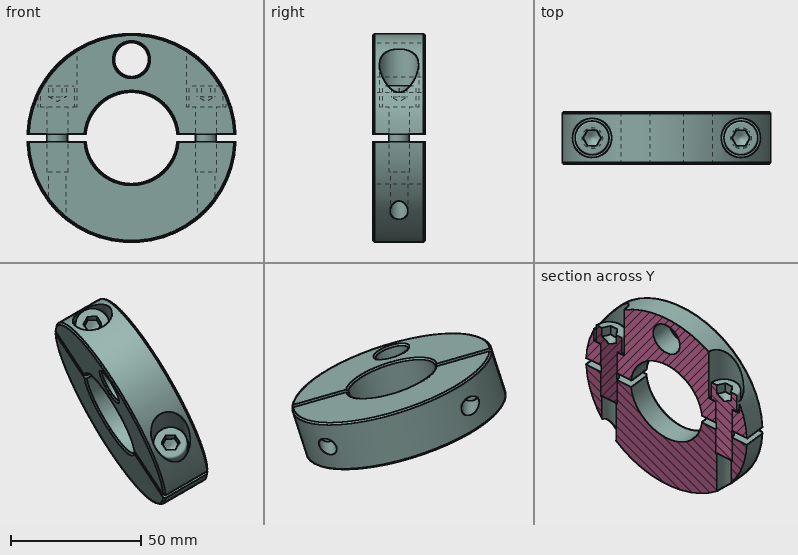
import cadquery as cq
import math

outer_diameter = 80.0
bore_diameter = 35.0
width = 20.0
split_gap = 3.0
edge_chamfer = 0.7

cross_hole_diameter = 13.0
cross_hole_height = 30.0

screw_offset = 28.5
shank_diameter = 8.0
shank_length = 25.0
head_diameter = 13.0
head_height = 8.0
head_fillet = 0.8
head_seat_height = 12.0
socket_across_flats = 6.0
socket_depth = 4.0
socket_cone_angle = 120.0

counterbore_diameter = 15.0
tap_drill_diameter = 6.8

outer_radius = outer_diameter / 2
head_top_height = head_seat_height + head_height
shank_end_height = head_seat_height - shank_length
socket_corner_diameter = socket_across_flats / math.cos(math.pi / 6)
screw_positions = [(-screw_offset, 0), (screw_offset, 0)]


def vertical_cylinders(diameter, bottom, top):
    """Cylinders on both screw axes between two heights."""
    return (
        cq.Workplane("XY")
        .workplane(offset=bottom)
        .pushPoints(screw_positions)
        .circle(diameter / 2)
        .extrude(top - bottom)
    )


def make_ring():
    """Full collar ring with all four circular edges chamfered."""
    return (
        cq.Workplane("XZ")
        .circle(outer_radius)
        .circle(bore_diameter / 2)
        .extrude(width / 2, both=True)
        .faces("<Y or >Y")
        .edges()
        .chamfer(edge_chamfer)
    )


def make_half(side):
    """Part of the ring above (side = 1) or below (side = -1) the split gap."""
    center_height = side * (split_gap + outer_diameter) / 2
    keep = cq.Workplane("XY").box(outer_diameter, width, outer_diameter)
    return make_ring().intersect(keep.translate((0, 0, center_height)))


def make_cross_hole():
    """Through hole cutter, flared at both ends to chamfer the hole rims."""
    hole_radius = cross_hole_diameter / 2
    rim_radius = hole_radius + edge_chamfer
    half_width = width / 2
    straight_end = half_width - edge_chamfer
    return (
        cq.Workplane("XY")
        .moveTo(0, -half_width)
        .lineTo(rim_radius, -half_width)
        .lineTo(hole_radius, -straight_end)
        .lineTo(hole_radius, straight_end)
        .lineTo(rim_radius, half_width)
        .lineTo(0, half_width)
        .close()
        .revolve(360, (0, 0, 0), (0, 1, 0))
        .translate((0, 0, cross_hole_height))
    )


def make_upper_half():
    """Half with the cross hole, shank holes and head counterbores."""
    return (
        make_half(1)
        .cut(make_cross_hole())
        .cut(vertical_cylinders(shank_diameter, 0, head_seat_height))
        .cut(vertical_cylinders(counterbore_diameter, head_seat_height, outer_radius))
    )


def make_lower_half():
    """Half with the threaded holes, whose tap drill runs out through the rim."""
    return (
        make_half(-1)
        .cut(vertical_cylinders(shank_diameter, shank_end_height, 0))
        .cut(vertical_cylinders(tap_drill_diameter, -outer_radius, shank_end_height))
    )


def make_socket():
    """Hexagonal socket cutter whose floor is a cone reaching out to the hexagon corners."""
    cone_radius = socket_corner_diameter / 2
    cone_depth = cone_radius / math.tan(math.radians(socket_cone_angle / 2))
    cone_base_height = head_top_height - socket_depth
    tip_height = cone_base_height - cone_depth
    hexagon = (
        cq.Workplane("XY")
        .workplane(offset=tip_height)
        .polygon(6, socket_corner_diameter)
        .extrude(head_top_height - tip_height)
    )
    pointed_bar = (
        cq.Workplane("XZ")
        .moveTo(0, head_top_height)
        .lineTo(cone_radius, head_top_height)
        .lineTo(cone_radius, cone_base_height)
        .lineTo(0, tip_height)
        .close()
        .revolve(360, (0, 0, 0), (0, 1, 0))
    )
    return hexagon.intersect(pointed_bar)


def make_screw(position):
    """Cap screw with a rounded head rim, placed on its axis."""
    head = (
        cq.Workplane("XY")
        .workplane(offset=head_seat_height)
        .circle(head_diameter / 2)
        .extrude(head_height)
        .faces(">Z")
        .edges()
        .fillet(head_fillet)
    )
    shank = (
        cq.Workplane("XY")
        .workplane(offset=shank_end_height)
        .circle(shank_diameter / 2)
        .extrude(shank_length)
    )
    return head.union(shank).cut(make_socket()).translate((*position, 0))


upper_half = make_upper_half()
lower_half = make_lower_half()
screws = [make_screw(position) for position in screw_positions]

result = cq.Compound.makeCompound(
    [upper_half.val(), lower_half.val(), *[screw.val() for screw in screws]]
)